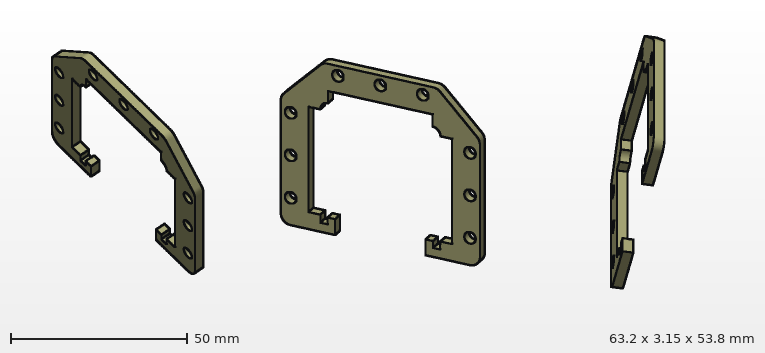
import cadquery as cq

width = 63.25
height = 53.8
thickness = 3.15
half_width = width / 2
top_chamfer = 13.55
corner_radius = 3.15

side_wall = 8.85
top_wall = 8.65
opening_floor = 5.45
step_height = 38.8
upper_half_width = 16.6
relief_radius = 2.5
lower_half_width = half_width - side_wall

mouth_half_width = 14.35
hook_height = 5.05
slot_inner = 16.75
slot_outer = 19.05
slot_floor = 2.9

hole_diameter = 3.6
hole_inset = 3.15
hole_pitch = 13.5
lowest_hole = 8.65
holes_per_row = 3


def block(x_min, x_max, z_min, z_max):
    """Box through the full plate thickness."""
    return cq.Workplane("XY").box(
        x_max - x_min, thickness, z_max - z_min, centered=False
    ).translate((x_min, 0, z_min))


def cylinders(points, radius):
    """Round cutters along Y, through the full thickness, at (x, z) points."""
    return cq.Workplane("XZ").pushPoints(points).circle(radius).extrude(-thickness)


def make_plate():
    plate = block(-half_width, half_width, 0, height)
    plate = plate.edges("|Y and >Z").chamfer(top_chamfer)
    return plate.edges("|Y").fillet(corner_radius)


def make_opening():
    """Stepped window with a round relief at each inner step corner."""
    lower = block(-lower_half_width, lower_half_width, opening_floor, step_height)
    upper = block(-upper_half_width, upper_half_width, step_height, height - top_wall)
    step_corners = [(side * upper_half_width, step_height) for side in (-1, 1)]
    return lower.union(upper).union(cylinders(step_corners, relief_radius))


def make_foot_cuts():
    """Bottom mouth, the lowered hook tips and the slot beside each hook."""
    mouth = block(-mouth_half_width, mouth_half_width, 0, opening_floor)
    hook_tops = block(-slot_outer, slot_outer, hook_height, opening_floor)
    right_slot = block(slot_inner, slot_outer, slot_floor, opening_floor)
    left_slot = right_slot.mirror("YZ")
    return mouth.union(hook_tops).union(right_slot).union(left_slot)


def make_holes():
    """One row of holes along the top and one along each side."""
    points = []
    for index in range(holes_per_row):
        along_top = (index - (holes_per_row - 1) / 2) * hole_pitch
        points.append((along_top, height - hole_inset))
        for side in (-1, 1):
            x = side * (half_width - hole_inset)
            points.append((x, lowest_hole + index * hole_pitch))
    return cylinders(points, hole_diameter / 2)


result = make_plate().cut(make_opening()).cut(make_foot_cuts()).cut(make_holes())